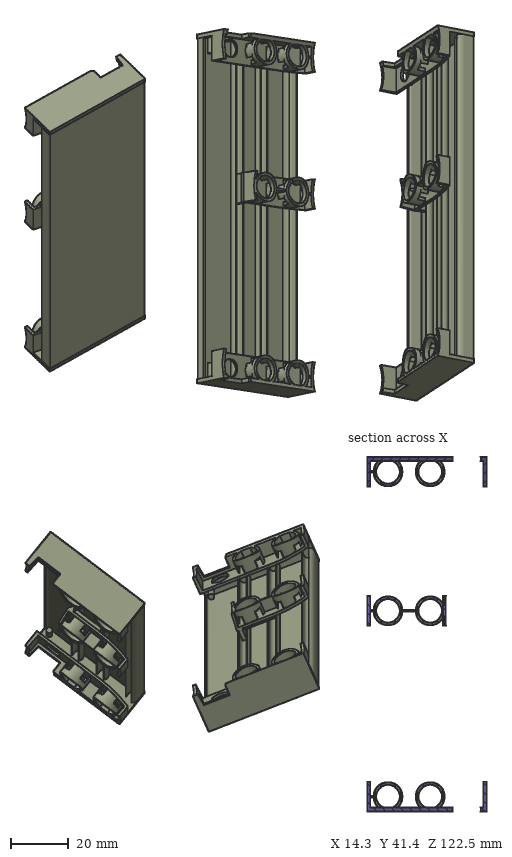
import cadquery as cq
import math

DEPTH = 14.3
WIDTH = 41.4
HEIGHT = 122.5

CLIP_HEIGHT = 10.3
MIDDLE_CENTRE_Z = 69.3
CAP_PLATE = 1.5
WEB_BACK = 6.6
WEB_THICKNESS = 1.0
WEB_END_BACK = 4.8
BEND_START_Y = 13.8
SIDE_WALL = 1.1
SADDLE_DEPTH = 0.9

CUP_Y = (7.2, 21.8)
CUP_BORE = 8.1
CUP_OUTER = 10.0
RIB_THICKNESS = 0.7
RIB_FRONT = 1.1

TAB_TIP = 1.1
TAB_ROOT = 1.5
HOLE_Y = 33.6
HOLE_DIAMETER = 6.2
NOTCH_DEPTH = 4.5
NOTCH_FAR_Y = WIDTH - 2.3
NOTCH_TIP_Y = WIDTH - 1.8
NOTCH_NEAR_Y = WIDTH - 11.9
NOTCH_CHAMFER = 0.7

MIDDLE_WIDTH = 27.7
MIDDLE_WALL = 0.9
MIDDLE_WALL_LEAN = 0.7
HOOK_SHOULDER_X = 7.4
HOOK_END_X = 10.9
HOOK_WIDTH = 1.5
HOOK_FLARE = 0.4
BACK_RIB_Y = 14.7

SLOT_INNER = 2.5
SLOT_OUTER = 4.4
SLOT_FRONT = 2.8

POST_DIAMETER = 2.1
POST_X = 10.2
POST_Y = 38.7
POST_TOP = 6.9

PANEL_FRONT = 11.8
BACK_CHAMFER_DEPTH = 0.9
BACK_CHAMFER_INSET = 0.2
PORT_X = 10.4
PORT_BORE = 2.7
PORT_RADIUS = 2.2
PORT_FRONT = 9.1
PORT_Y = (15.4, 26.5)
EDGE_PORT_RADIUS = 2.3
EDGE_BORE_Y = 2.7
LIP_FRONT = 10.9
LIP_WIDTH = 0.7
LIP_FILLET = 0.7


def box(x0, x1, y0, y1, z0, z1):
    return cq.Workplane("XY").box(x1 - x0, y1 - y0, z1 - z0, centered=False).translate((x0, y0, z0))


def disc_along_x(diameter, y, z, x0, x1):
    return cq.Workplane("YZ", origin=(x0, y, z)).circle(diameter / 2).extrude(x1 - x0)


def profile_prism(outline):
    """Stretch an XY outline over the full length of the profile."""
    return outline.extrude(HEIGHT - 2 * CAP_PLATE)


def profile_plane():
    """Workplane on which the profile starts, on top of the bottom cap plate."""
    return cq.Workplane("XY", origin=(0, 0, CAP_PLATE))


def profile_panel():
    """Back panel with chamfered back corners and a filleted lip along the far edge."""
    chamfer_x = DEPTH - BACK_CHAMFER_DEPTH
    lip_y = WIDTH - LIP_WIDTH
    return profile_prism(
        profile_plane()
        .moveTo(PANEL_FRONT, 0)
        .lineTo(chamfer_x, 0)
        .lineTo(DEPTH, BACK_CHAMFER_INSET)
        .lineTo(DEPTH, WIDTH - BACK_CHAMFER_INSET)
        .lineTo(chamfer_x, WIDTH)
        .lineTo(LIP_FRONT, WIDTH)
        .lineTo(LIP_FRONT, lip_y)
        .lineTo(PANEL_FRONT - LIP_FILLET, lip_y)
        .radiusArc((PANEL_FRONT, lip_y - LIP_FILLET), LIP_FILLET)
        .close()
    )


def edge_port_body():
    """Rib along the near edge with a round front and straight flanks down to the panel."""
    radius = EDGE_PORT_RADIUS
    return profile_prism(
        profile_plane()
        .moveTo(PANEL_FRONT, 0)
        .lineTo(PORT_X, 0)
        .threePointArc((PORT_X - radius, radius), (PORT_X, 2 * radius))
        .lineTo(PANEL_FRONT, 2 * radius)
        .close()
    )


def inner_port_body(y):
    """Round bar with a flat front that sinks partly into the panel."""
    bar = profile_prism(profile_plane().center(PORT_X, y).circle(PORT_RADIUS))
    return bar.cut(box(0, PORT_FRONT, 0, WIDTH, 0, HEIGHT))


def port_groove(y):
    """Screw channel with a round floor, open towards -X."""
    bore = profile_prism(profile_plane().center(PORT_X, y).circle(PORT_BORE / 2))
    slot = profile_prism(profile_plane().center(PORT_X / 2, y).rect(PORT_X, PORT_BORE))
    return bore.union(slot)


def make_profile():
    """Back panel with two inner screw ports and one along the near edge."""
    body = profile_panel().union(edge_port_body())
    for y in PORT_Y:
        body = body.union(inner_port_body(y))
    for y in (EDGE_BORE_Y, *PORT_Y):
        body = body.cut(port_groove(y))
    return body


def bend_radius():
    """Radius of the web's back face, tangent to the flat part and ending at the near edge."""
    sag = WEB_BACK - WEB_END_BACK
    return (BEND_START_Y**2 + sag**2) / (2 * sag)


def bend_x(radius, y):
    """X on a bend arc of the given radius around the common bend centre."""
    centre_x = WEB_BACK - bend_radius()
    return centre_x + math.sqrt(radius**2 - (BEND_START_Y - y) ** 2)


def clip_web(far_y):
    """Web along Y that bends towards -X over its near part."""
    back = bend_radius()
    front = back - WEB_THICKNESS
    half = BEND_START_Y / 2
    return (
        cq.Workplane("XY")
        .moveTo(WEB_BACK, far_y)
        .lineTo(WEB_BACK, BEND_START_Y)
        .threePointArc((bend_x(back, half), half), (bend_x(back, 0), 0))
        .lineTo(bend_x(front, 0), 0)
        .threePointArc((bend_x(front, half), half), (WEB_BACK - WEB_THICKNESS, BEND_START_Y))
        .lineTo(WEB_BACK - WEB_THICKNESS, far_y)
        .close()
        .extrude(CLIP_HEIGHT)
    )


def space_behind_web():
    """Everything between the back face of the web and the back of the clip."""
    back = bend_radius()
    half = BEND_START_Y / 2
    return (
        cq.Workplane("XY")
        .moveTo(WEB_BACK, WIDTH)
        .lineTo(WEB_BACK, BEND_START_Y)
        .threePointArc((bend_x(back, half), half), (bend_x(back, 0), 0))
        .lineTo(DEPTH, 0)
        .lineTo(DEPTH, WIDTH)
        .close()
        .extrude(CLIP_HEIGHT)
    )


def cross_rib(y0, y1):
    """Thin level rib at mid height in front of the web."""
    middle = CLIP_HEIGHT / 2
    half = RIB_THICKNESS / 2
    return box(RIB_FRONT, WEB_BACK, y0, y1, middle - half, middle + half)


def saddle():
    """Cylinder along Y that hollows out every front edge of a clip."""
    half = CLIP_HEIGHT / 2
    radius = (half**2 + SADDLE_DEPTH**2) / (2 * SADDLE_DEPTH)
    return (
        cq.Workplane("XZ", origin=(SADDLE_DEPTH - radius, 0, half)).circle(radius).extrude(-WIDTH)
    )


def clip_front(far_y):
    """Bent web, near side wall, cups and the rib beside the near cup, not yet hollowed."""
    middle = CLIP_HEIGHT / 2
    body = clip_web(far_y).union(box(0, WEB_END_BACK, 0, SIDE_WALL, 0, CLIP_HEIGHT))
    body = body.union(cross_rib(0, CUP_Y[0]))
    for y in CUP_Y:
        body = body.union(disc_along_x(CUP_OUTER, y, middle, 0, WEB_BACK))
    return body


def cup_slots(y):
    """Two slots along Z, one on each side of the cup axis."""
    reach = CUP_OUTER / 2
    low = CLIP_HEIGHT / 2 - reach
    high = CLIP_HEIGHT / 2 + reach
    near = box(SLOT_FRONT, WEB_BACK, y - SLOT_OUTER, y - SLOT_INNER, low, high)
    far = box(SLOT_FRONT, WEB_BACK, y + SLOT_INNER, y + SLOT_OUTER, low, high)
    return near.union(far)


def hollow_cups(body):
    """Blind bores and slots that stop at the front face of the web."""
    kept = clip_web(WIDTH).union(space_behind_web())
    for y in CUP_Y:
        bore = disc_along_x(CUP_BORE, y, CLIP_HEIGHT / 2, 0, WEB_BACK)
        body = body.cut(bore.union(cup_slots(y)).cut(kept))
    return body


def cap_plate():
    """End plate with a notch in its front edge."""
    plate = box(0, DEPTH, 0, WIDTH, 0, CAP_PLATE)
    notch = (
        cq.Workplane("XY")
        .moveTo(0, NOTCH_TIP_Y)
        .lineTo(NOTCH_DEPTH, NOTCH_FAR_Y)
        .lineTo(NOTCH_DEPTH, NOTCH_NEAR_Y)
        .lineTo(NOTCH_CHAMFER, NOTCH_NEAR_Y)
        .lineTo(0, NOTCH_NEAR_Y - NOTCH_CHAMFER)
        .close()
        .extrude(CAP_PLATE)
    )
    return plate.cut(notch)


def cap_tab():
    """Tapered wall along the far edge."""
    return (
        cq.Workplane("XY")
        .moveTo(0, WIDTH)
        .lineTo(WEB_BACK, WIDTH)
        .lineTo(WEB_BACK, WIDTH - TAB_ROOT)
        .lineTo(0, WIDTH - TAB_TIP)
        .close()
        .extrude(CLIP_HEIGHT)
    )


def cap_post():
    """Round post that stands on the plate in the corner between panel and lip."""
    return cq.Workplane("XY", origin=(POST_X, POST_Y, 0)).circle(POST_DIAMETER / 2).extrude(POST_TOP)


def make_cap():
    """Bottom end cap, standing on Z = 0."""
    body = clip_front(WIDTH).union(cap_tab()).cut(space_behind_web())
    body = hollow_cups(body).union(cap_plate()).union(cap_post())
    body = body.cut(disc_along_x(HOLE_DIAMETER, HOLE_Y, CLIP_HEIGHT / 2, 0, WEB_BACK))
    return body.cut(saddle())


def leaning_wall():
    """Far side wall of the middle clip, leaning inwards from the web to its front edge."""
    tip_y = MIDDLE_WIDTH - MIDDLE_WALL_LEAN
    return (
        cq.Workplane("XY")
        .moveTo(WEB_BACK, MIDDLE_WIDTH)
        .lineTo(0, tip_y)
        .lineTo(0, tip_y - MIDDLE_WALL)
        .lineTo(WEB_BACK, MIDDLE_WIDTH - MIDDLE_WALL)
        .close()
        .extrude(CLIP_HEIGHT)
    )


def hook():
    """Tongue behind the web with a flared root."""
    near_y = PORT_Y[-1] - HOOK_WIDTH / 2
    far_y = PORT_Y[-1] + HOOK_WIDTH / 2
    return (
        cq.Workplane("XY")
        .moveTo(WEB_BACK, near_y - HOOK_FLARE)
        .lineTo(HOOK_SHOULDER_X, near_y)
        .lineTo(HOOK_END_X, near_y)
        .lineTo(HOOK_END_X, far_y)
        .lineTo(HOOK_SHOULDER_X, far_y)
        .lineTo(WEB_BACK, MIDDLE_WIDTH)
        .close()
        .extrude(CLIP_HEIGHT)
    )


def back_rib():
    """Thin level rib from the hook along the back of the web, up to the front of the ports."""
    middle = CLIP_HEIGHT / 2
    half = RIB_THICKNESS / 2
    return box(WEB_BACK, PORT_FRONT, BACK_RIB_Y, PORT_Y[-1], middle - half, middle + half)


def make_middle_clip():
    """Clip whose hook reaches into the far screw port of the profile."""
    body = clip_front(MIDDLE_WIDTH).union(cross_rib(*CUP_Y))
    body = body.union(leaning_wall())
    body = hollow_cups(body.cut(space_behind_web()))
    body = body.union(hook()).union(back_rib()).cut(saddle())
    return body.translate((0, 0, MIDDLE_CENTRE_Z - CLIP_HEIGHT / 2))


profile = make_profile()
bottom_cap = make_cap()
caps = [bottom_cap, bottom_cap.mirror("XY").translate((0, 0, HEIGHT))]
middle_clip = make_middle_clip()

result = cq.Compound.makeCompound([profile.val(), *[cap.val() for cap in caps], middle_clip.val()])